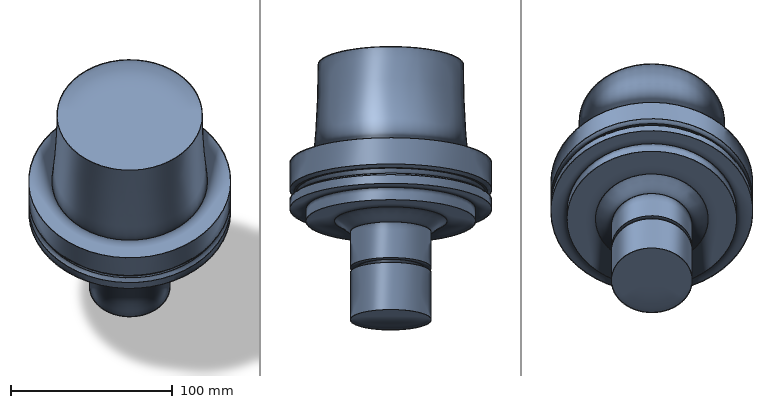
import cadquery as cq
import math

head_height = 30.2
neck_top = 33.3
shank_top = 56.0
collar_bottom = 63.0
flange_bottom = 70.9
groove_lower_edge = 76.5
groove_floor_bottom = 78.0
groove_floor_top = 81.7
groove_upper_edge = 83.3
flange_top = 100.1
total_height = 163.0

shank_diameter = 50.0
neck_diameter = 41.0
flare_diameter = 69.8
collar_diameter = 105.0
flange_diameter = 125.0
groove_diameter = 117.0
groove_slope_diameter = 120.0
plug_base_diameter = 96.3
plug_top_diameter = 90.0

shank_radius = shank_diameter / 2
neck_radius = neck_diameter / 2
flare_radius = flare_diameter / 2
collar_radius = collar_diameter / 2
flange_radius = flange_diameter / 2
groove_radius = groove_diameter / 2
groove_slope_radius = groove_slope_diameter / 2
plug_base_radius = plug_base_diameter / 2
plug_top_radius = plug_top_diameter / 2

flare_bow = 0.21


def flare_midpoint():
    """Point halfway along the hollow flare, as (radius, height)."""
    run = flare_radius - shank_radius
    rise = collar_bottom - shank_top
    chord = math.hypot(run, rise)
    radius = (shank_radius + flare_radius) / 2 - flare_bow * rise / chord
    height = (shank_top + collar_bottom) / 2 + flare_bow * run / chord
    return radius, height


def plug_side_midpoint():
    """Point on the plug's side arc, which is vertical at the top and widens downward."""
    height = total_height - flange_top
    spread = plug_base_radius - plug_top_radius
    arc_radius = (height**2 + spread**2) / (2 * spread)
    half_angle = math.asin(height / arc_radius) / 2
    radius = plug_top_radius + arc_radius * (1 - math.cos(half_angle))
    return radius, total_height - arc_radius * math.sin(half_angle)


def make_head():
    """Plain cylindrical tool head below the neck."""
    return cq.Workplane("XY").circle(shank_radius).extrude(head_height)


def make_holder():
    """Turned holder: neck, shank, flare, collar, grooved flange and curved plug."""
    profile = (
        cq.Workplane("XZ")
        .moveTo(0, head_height)
        .lineTo(neck_radius, head_height)
        .lineTo(neck_radius, neck_top)
        .lineTo(shank_radius, neck_top)
        .lineTo(shank_radius, shank_top)
        .threePointArc(flare_midpoint(), (flare_radius, collar_bottom))
        .lineTo(collar_radius, collar_bottom)
        .lineTo(collar_radius, flange_bottom)
        .lineTo(flange_radius, flange_bottom)
        .lineTo(flange_radius, groove_lower_edge)
        .lineTo(groove_slope_radius, groove_floor_bottom)
        .lineTo(groove_radius, groove_floor_bottom)
        .lineTo(groove_radius, groove_floor_top)
        .lineTo(groove_slope_radius, groove_floor_top)
        .lineTo(flange_radius, groove_upper_edge)
        .lineTo(flange_radius, flange_top)
        .lineTo(plug_base_radius, flange_top)
        .threePointArc(plug_side_midpoint(), (plug_top_radius, total_height))
        .lineTo(0, total_height)
        .close()
    )
    return profile.revolve(360, (0, 0, 0), (0, 1, 0))


head = make_head()
holder = make_holder()

result = cq.Compound.makeCompound([head.val(), holder.val()])